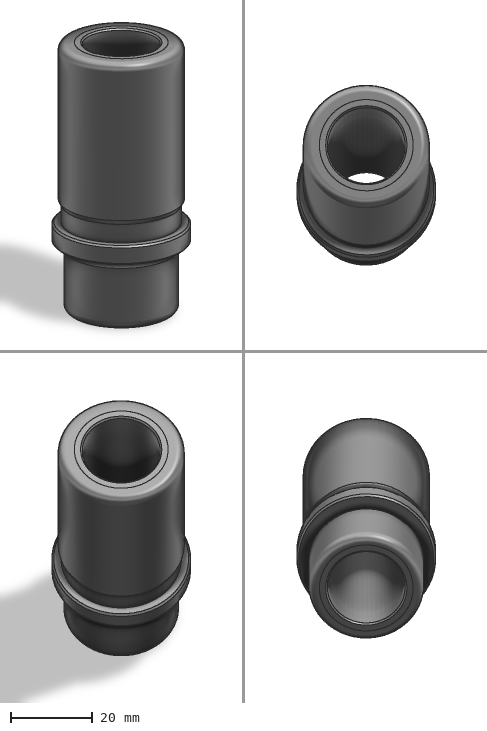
import cadquery as cq

total_height = 70.0
relief_bottom = 16.2
flange_bottom = 18.05
flange_top = 23.1
neck_top = 27.9
barrel_bottom = 29.2

barrel_radius = 15.5
neck_radius = 14.8
flange_radius = 17.0
spigot_radius = 14.1
relief_radius = 13.3
liner_radius = 11.5
bore_radius = 9.5

end_fillet = 2.0
flange_chamfer = 0.5
bore_chamfer = 0.4


def make_sleeve():
    """Guide sleeve: spigot, tapered relief, flange, neck and barrel around the liner seat."""
    profile = [
        (liner_radius, 0),
        (spigot_radius, 0),
        (spigot_radius, relief_bottom),
        (relief_radius, flange_bottom),
        (flange_radius - flange_chamfer, flange_bottom),
        (flange_radius, flange_bottom + flange_chamfer),
        (flange_radius, flange_top - flange_chamfer),
        (flange_radius - flange_chamfer, flange_top),
        (neck_radius, flange_top),
        (neck_radius, neck_top),
        (barrel_radius, barrel_bottom),
        (barrel_radius, total_height),
        (liner_radius, total_height),
    ]
    sleeve = cq.Workplane("XZ").polyline(profile).close().revolve(360, (0, 0, 0), (0, 1, 0))
    outer_end_edges = cq.selectors.RadiusNthSelector(-1)
    sleeve = sleeve.faces(">Z").edges(outer_end_edges).fillet(end_fillet)
    return sleeve.faces("<Z").edges(outer_end_edges).fillet(end_fillet)


def make_liner():
    """Full-length bearing liner with a chamfered through bore."""
    liner = cq.Workplane("XY").circle(liner_radius).circle(bore_radius).extrude(total_height)
    bore_end_edges = cq.selectors.RadiusNthSelector(0)
    return liner.faces("<Z or >Z").edges(bore_end_edges).chamfer(bore_chamfer)


sleeve = make_sleeve()
liner = make_liner()
result = cq.Compound.makeCompound([sleeve.val(), liner.val()])